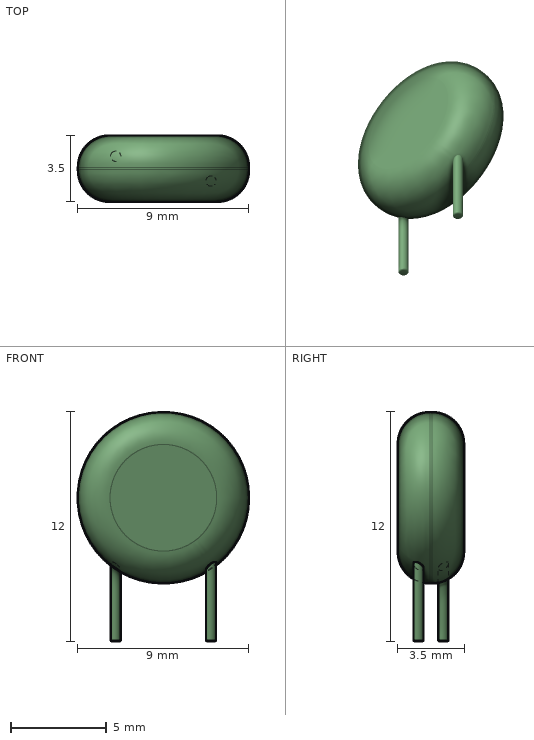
import cadquery as cq

body_diameter = 9.0
body_thickness = 3.5
rim_band_width = 0.1
edge_radius = (body_thickness - rim_band_width) / 2
body_center_z = body_diameter / 2

lead_diameter = 0.54
lead_spacing = 5.0
lead_offset_y = 0.65
lead_length_below_body = 3.03
lead_tip_radius = 0.1


def make_body():
    """Disc with rounded edges that leave a narrow straight band around the rim."""
    disc = (
        cq.Workplane("XZ", origin=(0, body_thickness / 2, body_center_z))
        .circle(body_diameter / 2)
        .extrude(body_thickness)
    )
    return disc.edges("%CIRCLE").fillet(edge_radius)


def make_lead(x, y):
    """Round wire with a rounded tip, running up to the height of the disc's center."""
    return (
        cq.Workplane("XY", origin=(x, y, -lead_length_below_body))
        .circle(lead_diameter / 2)
        .extrude(lead_length_below_body + body_center_z)
        .faces("<Z")
        .edges()
        .fillet(lead_tip_radius)
    )


result = make_body()
for side in (-1, 1):
    result = result.union(make_lead(side * lead_spacing / 2, -side * lead_offset_y))